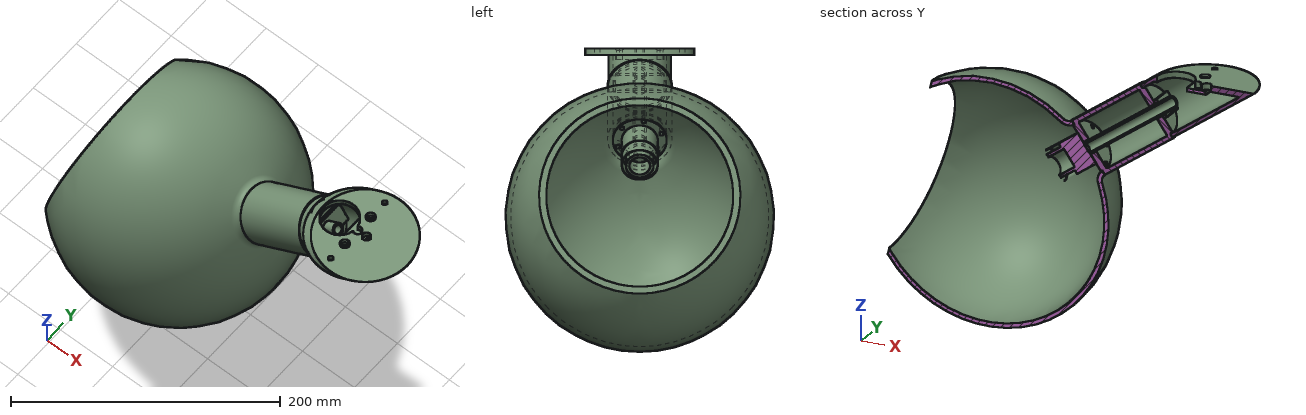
import cadquery as cq
import math

ARM_TILT = 35.0
RIM_TILT = 14.0

GLOBE_RADIUS = 99.8
WALL = 4.0
OPENING_RADIUS = 74.7
NECK_FILLET = 6.0

ARM_RADIUS = 24.0
ARM_TOP = 170.0
SPIGOT_HEIGHT = 2.5
PLUG_HEIGHT = 1.8
END_WALL = 6.0
SCREW_HOLE_DIAMETER = 3.0
SCREW_HOLE_COUNT = 6
SCREW_CIRCLE_RADIUS = 17.2
SCREW_START_ANGLE = 10.0

MOUNT_TOP = 125.5
FLANGE_RADIUS = 40.5
FLANGE_THICKNESS = 5.0
CABLE_HOLE_DIAMETER = 30.3
CABLE_HOLE_OFFSET = 17.2
CENTRE_HOLE_DIAMETER = 7.0
SIDE_HOLE_OFFSET = 8.5
WALL_HOLE_DIAMETER = 4.0
WALL_HOLE_OFFSET = 31.5
BAR_HOLE_DIAMETER = 4.5
BAR_HOLE_OFFSET = 15.0
COUNTERSINK_DIAMETER = 7.5
COUNTERSINK_ANGLE = 90.0

BAR_WIDTH = 15.5
BAR_LENGTH = 36.3
BAR_THICKNESS = 3.0

NIPPLE_DIAMETER = 10.0
NIPPLE_BORE = 7.0
NIPPLE_TOP = 186.7

SOCKET_DIAMETER = 27.0
SKIRT_BORE = 26.3
SKIRT_TOP = 80.5
SKIRT_BOTTOM = 68.0
CORE_DIAMETER = 20.5
CORE_BOTTOM = 66.5
CORE_BORE = 15.5
CORE_BORE_DEPTH = 15.5

ARM_BORE_RADIUS = ARM_RADIUS - WALL
GLOBE_INNER_RADIUS = GLOBE_RADIUS - WALL
FILLET_CENTRE_RADIUS = ARM_RADIUS + NECK_FILLET
ARM_BOTTOM = math.sqrt((GLOBE_RADIUS + NECK_FILLET) ** 2 - FILLET_CENTRE_RADIUS ** 2)
PLUG_BOTTOM = ARM_BOTTOM - PLUG_HEIGHT
SPIGOT_TOP = ARM_TOP + SPIGOT_HEIGHT
OPENING_DISTANCE = math.sqrt(GLOBE_RADIUS ** 2 - OPENING_RADIUS ** 2)

TILT = math.radians(ARM_TILT)
FLANGE_BOTTOM = MOUNT_TOP - FLANGE_THICKNESS
HOLE_ROW_X = FLANGE_BOTTOM / math.tan(TILT)
STUB_RADIUS = FLANGE_RADIUS * math.sin(TILT)
STUB_REACH = 2 * ARM_TOP


def along_arm(body):
    """Turn a body built along Z onto the arm axis."""
    return body.rotate((0, 0, 0), (0, 1, 0), 90 - ARM_TILT)


def cylinder(radius, bottom, top):
    return cq.Workplane("XY").workplane(offset=bottom).circle(radius).extrude(top - bottom)


def bar(bottom):
    """Flat bar lying across Y with its underside at the given height."""
    base = cq.Workplane("XY").workplane(offset=bottom)
    return base.rect(BAR_WIDTH, BAR_LENGTH).extrude(BAR_THICKNESS)


def necked_ball(sphere_radius, fillet_radius, neck_radius):
    """Revolved ball whose surface sweeps up into a neck that ends at ARM_BOTTOM."""
    scale = sphere_radius / (sphere_radius + fillet_radius)
    tangent = (FILLET_CENTRE_RADIUS * scale, ARM_BOTTOM * scale)
    ball_angle = math.atan2(-ARM_BOTTOM, -FILLET_CENTRE_RADIUS) % math.tau
    middle_angle = (math.pi + ball_angle) / 2
    fillet_middle = (
        FILLET_CENTRE_RADIUS + fillet_radius * math.cos(middle_angle),
        ARM_BOTTOM + fillet_radius * math.sin(middle_angle),
    )
    return (
        cq.Workplane("XZ")
        .moveTo(0, -sphere_radius)
        .threePointArc((sphere_radius, 0), tangent)
        .threePointArc(fillet_middle, (neck_radius, ARM_BOTTOM))
        .lineTo(0, ARM_BOTTOM)
        .close()
        .revolve(360, (0, 0, 0), (0, 1, 0))
    )


def make_globe():
    outer = necked_ball(GLOBE_RADIUS, NECK_FILLET, ARM_RADIUS)
    inner = necked_ball(GLOBE_INNER_RADIUS, NECK_FILLET + WALL, ARM_BORE_RADIUS)
    opening = (
        cylinder(GLOBE_RADIUS, OPENING_DISTANCE, 2 * GLOBE_RADIUS)
        .rotate((0, 0, 0), (0, 1, 0), RIM_TILT - 90)
    )
    return along_arm(outer.cut(inner)).cut(opening)


def make_arm():
    body = cylinder(ARM_RADIUS, ARM_BOTTOM, ARM_TOP)
    body = body.union(cylinder(ARM_BORE_RADIUS, PLUG_BOTTOM, SPIGOT_TOP))
    body = body.cut(cylinder(ARM_BORE_RADIUS, PLUG_BOTTOM + END_WALL, SPIGOT_TOP - END_WALL))
    body = body.cut(cylinder(NIPPLE_DIAMETER / 2, PLUG_BOTTOM, SPIGOT_TOP))
    screw_holes = (
        cq.Workplane("XY")
        .workplane(offset=PLUG_BOTTOM)
        .polarArray(SCREW_CIRCLE_RADIUS, SCREW_START_ANGLE, 360, SCREW_HOLE_COUNT)
        .circle(SCREW_HOLE_DIAMETER / 2)
        .extrude(END_WALL)
    )
    return along_arm(body.cut(screw_holes))


def make_mount():
    slant = cq.Vector(FLANGE_THICKNESS / math.tan(TILT), 0, FLANGE_THICKNESS)
    underside = cq.Workplane("XY", origin=(HOLE_ROW_X, 0, FLANGE_BOTTOM))
    rim = underside.circle(FLANGE_RADIUS).wires().val()
    flange = cq.Workplane(cq.Solid.extrudeLinear(rim, [], slant))

    stub = cylinder(STUB_RADIUS, ARM_TOP, STUB_REACH).cut(cylinder(ARM_BORE_RADIUS, ARM_TOP, STUB_REACH))
    above_flange = cylinder(2 * STUB_REACH, FLANGE_BOTTOM, STUB_REACH)
    mount = flange.union(along_arm(stub).cut(above_flange))

    face = cq.Workplane("XY", origin=(HOLE_ROW_X, 0, MOUNT_TOP))
    mount = mount.cut(
        face.center(-CABLE_HOLE_OFFSET, 0).circle(CABLE_HOLE_DIAMETER / 2).extrude(-FLANGE_THICKNESS)
    )
    mount = mount.cut(
        face.pushPoints([(0, 0), (SIDE_HOLE_OFFSET, 0)])
        .circle(CENTRE_HOLE_DIAMETER / 2)
        .extrude(-FLANGE_THICKNESS)
    )
    mount = mount.cut(
        face.pushPoints([(0, -WALL_HOLE_OFFSET), (0, WALL_HOLE_OFFSET)])
        .circle(WALL_HOLE_DIAMETER / 2)
        .extrude(-FLANGE_THICKNESS)
    )
    return mount.copyWorkplane(face).pushPoints([(0, -BAR_HOLE_OFFSET), (0, BAR_HOLE_OFFSET)]).cskHole(
        BAR_HOLE_DIAMETER, COUNTERSINK_DIAMETER, COUNTERSINK_ANGLE, FLANGE_THICKNESS
    )


def make_flange_bar():
    """Bar under the flange with a hole below each countersunk hole."""
    body = bar(FLANGE_BOTTOM - BAR_THICKNESS).translate((HOLE_ROW_X, 0, 0))
    holes = (
        cq.Workplane("XY", origin=(HOLE_ROW_X, 0, FLANGE_BOTTOM))
        .pushPoints([(0, -BAR_HOLE_OFFSET), (0, BAR_HOLE_OFFSET)])
        .circle(BAR_HOLE_DIAMETER / 2)
        .extrude(-BAR_THICKNESS)
    )
    return body.cut(holes)


def make_arm_bar():
    """Bar across the top of the arm that the nipple passes through."""
    hole = cylinder(NIPPLE_DIAMETER / 2, SPIGOT_TOP, SPIGOT_TOP + BAR_THICKNESS)
    return along_arm(bar(SPIGOT_TOP).cut(hole))


def make_nipple():
    outer = cylinder(NIPPLE_DIAMETER / 2, PLUG_BOTTOM, NIPPLE_TOP)
    return along_arm(outer.cut(cylinder(NIPPLE_BORE / 2, PLUG_BOTTOM, NIPPLE_TOP)))


def make_socket_base():
    base = cylinder(SOCKET_DIAMETER / 2, SKIRT_TOP, PLUG_BOTTOM)
    base = base.union(cylinder(CORE_DIAMETER / 2, CORE_BOTTOM, SKIRT_TOP))
    return along_arm(base.cut(cylinder(CORE_BORE / 2, CORE_BOTTOM, CORE_BOTTOM + CORE_BORE_DEPTH)))


def make_socket_skirt():
    outer = cylinder(SOCKET_DIAMETER / 2, SKIRT_BOTTOM, SKIRT_TOP)
    return along_arm(outer.cut(cylinder(SKIRT_BORE / 2, SKIRT_BOTTOM, SKIRT_TOP)))


globe = make_globe()
arm = make_arm()
mount = make_mount()
flange_bar = make_flange_bar()
arm_bar = make_arm_bar()
nipple = make_nipple()
socket_base = make_socket_base()
socket_skirt = make_socket_skirt()

result = cq.Compound.makeCompound([
    globe.val(),
    arm.val(),
    mount.val(),
    flange_bar.val(),
    arm_bar.val(),
    nipple.val(),
    socket_base.val(),
    socket_skirt.val(),
])